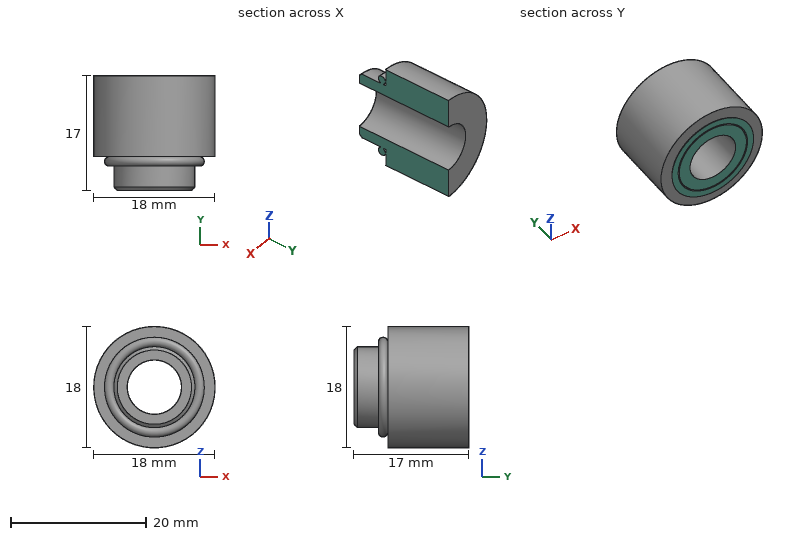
import cadquery as cq

body_diameter = 18.0
body_length = 12.0
neck_diameter = 12.0
neck_length = 5.0
neck_chamfer = 0.5
bore_diameter = 8.0
ring_section_diameter = 1.4
ring_seat_overlap = 0.005

bore_radius = bore_diameter / 2
neck_radius = neck_diameter / 2
body_radius = body_diameter / 2
ring_section_radius = ring_section_diameter / 2
ring_center_radius = neck_radius + ring_section_radius - ring_seat_overlap
ring_center_y = -ring_section_radius + ring_seat_overlap


def make_sleeve():
    """Body and chamfered neck with a through bore, revolved from a (Y, radius) half section."""
    half_section = (
        cq.Workplane("YZ")
        .moveTo(body_length, bore_radius)
        .lineTo(body_length, body_radius)
        .lineTo(0, body_radius)
        .lineTo(0, neck_radius)
        .lineTo(-neck_length + neck_chamfer, neck_radius)
        .lineTo(-neck_length, neck_radius - neck_chamfer)
        .lineTo(-neck_length, bore_radius)
        .close()
    )
    return half_section.revolve(360, (0, 0, 0), (1, 0, 0))


def make_sealing_ring():
    """Round-section ring seated in the corner between neck and shoulder."""
    section = (
        cq.Workplane("YZ")
        .center(ring_center_y, ring_center_radius)
        .circle(ring_section_radius)
    )
    return section.revolve(360, (0, -ring_center_radius, 0), (1, -ring_center_radius, 0))


result = make_sleeve().union(make_sealing_ring())